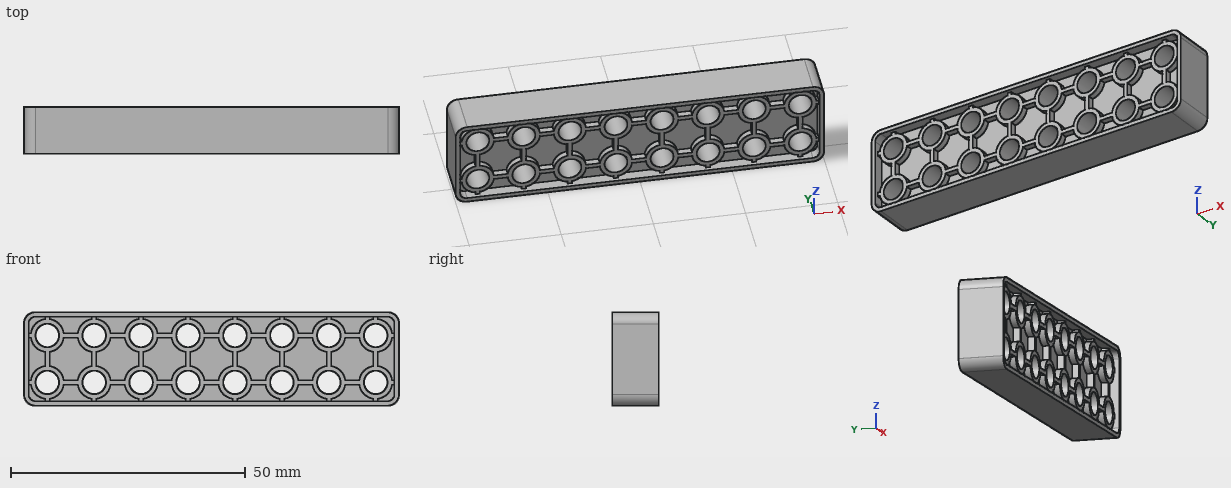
import cadquery as cq

length = 80
columns = 8
rows = 2
pitch = length / columns
height = rows * pitch
thickness = pitch
corner_radius = 2.5

pocket_length = 78.0
wall = (length - pocket_length) / 2
hole_diameter = 5.0
tube_diameter = 7.0
rib_width = 1.0

lattice_recess = 1.0
floor_depth = 2.5
lattice_height = floor_depth - lattice_recess

column_places = [(column - (columns - 1) / 2) * pitch for column in range(columns)]
row_places = [(row - (rows - 1) / 2) * pitch for row in range(rows)]
tube_centers = [(x, z) for x in column_places for z in row_places]


def front_plane(depth):
    """XZ sketch plane lying the given depth behind the front rim, extruding towards -Y."""
    return cq.Workplane("XZ", origin=(0, depth - thickness / 2, 0))


def rounded_block(size_x, size_z, radius, base_depth, block_height):
    block = front_plane(base_depth).rect(size_x, size_z).extrude(block_height)
    return block.edges("|Y").fillet(radius)


def make_shell():
    """Solid block with a rounded pocket sunk into its front."""
    body = rounded_block(length, height, corner_radius, thickness, thickness)
    cavity = rounded_block(
        pocket_length, height - 2 * wall, corner_radius - wall, floor_depth, floor_depth
    )
    return body.cut(cavity)


def make_ribs():
    """Straight ribs through every row and column of tubes, ending in the frame wall."""
    base = front_plane(floor_depth)
    row_centers = [(0, z) for z in row_places]
    column_centers = [(x, 0) for x in column_places]
    row_ribs = base.pushPoints(row_centers).rect(length - wall, rib_width).extrude(lattice_height)
    column_ribs = base.pushPoints(column_centers).rect(rib_width, height - wall).extrude(lattice_height)
    return row_ribs.union(column_ribs)


def make_cylinders(diameter, base_depth, cylinder_length):
    """One cylinder on every tube centre, running from base_depth towards the front."""
    return front_plane(base_depth).pushPoints(tube_centers).circle(diameter / 2).extrude(cylinder_length)


tubes = make_cylinders(tube_diameter, floor_depth, lattice_height)
through_holes = make_cylinders(hole_diameter, thickness, thickness)

result = make_shell().union(make_ribs()).union(tubes).cut(through_holes)